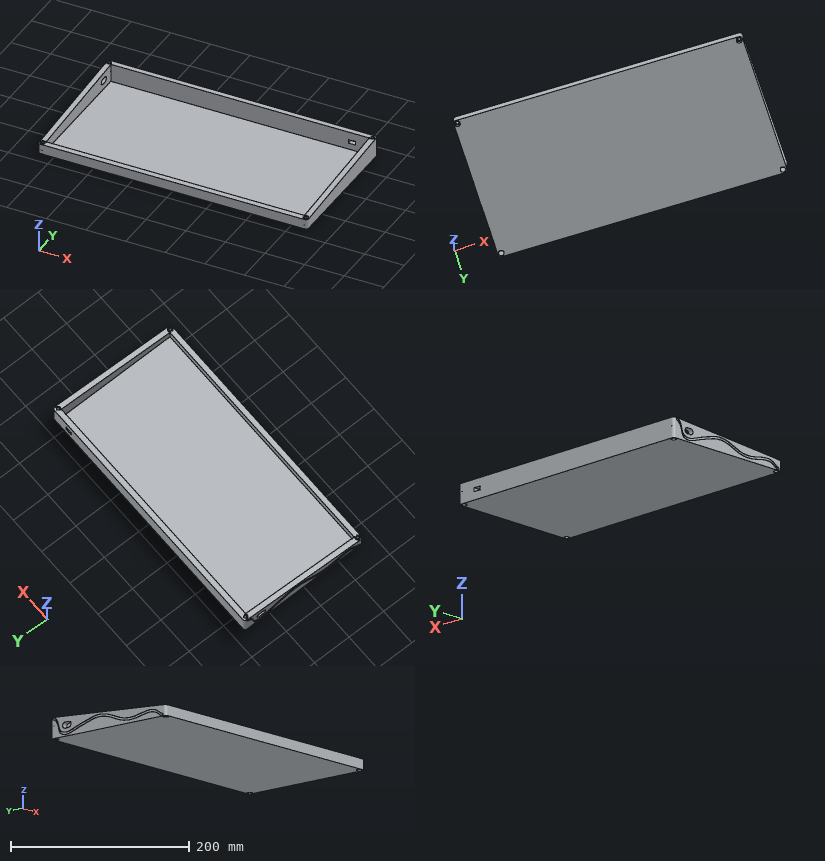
import cadquery as cq
import math

overall_length = 340.7
width = 171.7
rear_height = 25.0
slope_angle = 4.1

strip_thickness = 0.5
strip_height = 2.7
wave_points = [
    (81.8, 23.0), (77.7, 20.8), (74.3, 15.0), (71.2, 6.5),
    (64.5, 3.5), (49.7, 6.5), (33.5, 11.5), (14.5, 15.7),
    (-3.5, 12.5), (-17.5, 7.0), (-31.5, 4.8), (-46.7, 6.5),
    (-61.5, 9.0), (-71.5, 6.8), (-76.5, 3.5), (-81.0, 1.5),
]

wall = 7.0
floor_thickness = 2.0
corner_radius = 3.5
rear_flat = 3.5
front_slope_run = 3.5

hole_diameter = 3.5
seat_diameter = 6.0
hole_inset = 4.5
rear_bore_depth = 15.0
front_bore_depth = 4.5

port_length = 12.3
port_height = 6.8
port_y = 61.5
port_z = 13.0

socket_width = 9.0
socket_height = 4.5
socket_x = 141.5
socket_z = 12.3

right = overall_length / 2
left = strip_thickness - overall_length / 2
case_length = right - left
center_x = (left + right) / 2
inner_length = case_length - 2 * wall
front = -width / 2
rear = width / 2
slope_start = rear - rear_flat
slope = math.tan(math.radians(slope_angle))
front_height = rear_height - slope * (slope_start - front)
front_rim_height = front_height + slope * front_slope_run


def inner_block(y_from, y_to, z_from, z_to):
    """Block between the inner faces of the two side walls."""
    return cq.Workplane("XY").box(inner_length, y_to - y_from, z_to - z_from).translate(
        (center_x, (y_from + y_to) / 2, (z_from + z_to) / 2)
    )


def make_wedge():
    """Solid wedge: flat along the rear edge, then sloping down to the front."""
    profile = [(front, 0), (rear, 0), (rear, rear_height), (slope_start, rear_height), (front, front_height)]
    wedge = cq.Workplane("YZ", origin=(left, 0, 0)).polyline(profile).close().extrude(case_length)
    return wedge.edges("|Z").fillet(corner_radius)


def make_tray():
    """Wedge hollowed out, with level tops on the rear wall and on the inner part of the front wall."""
    cavity = inner_block(front + wall, rear - wall, floor_thickness, rear_height)
    rear_rim = inner_block(rear - wall, slope_start, floor_thickness, rear_height)
    front_rim_cut = inner_block(front + front_slope_run, front + wall, front_rim_height, rear_height)
    return make_wedge().cut(cavity).union(rear_rim).cut(front_rim_cut)


def add_screw_hole(case, x, y, seat_height, bore_depth):
    """Level the corner to a round seat, drill it through and bore it wider from below."""
    base = cq.Workplane("XY", origin=(x, y, 0))
    seat = base.circle(seat_diameter / 2).extrude(seat_height)
    above_seat = base.workplane(offset=seat_height).circle(seat_diameter / 2).extrude(rear_height)
    hole = base.circle(hole_diameter / 2).extrude(seat_height)
    bore = base.circle(seat_diameter / 2).extrude(bore_depth)
    return case.union(seat).cut(above_seat).cut(hole).cut(bore)


def make_case():
    case = make_tray()
    for x in (left + hole_inset, right - hole_inset):
        case = add_screw_hole(case, x, rear - hole_inset, rear_height, rear_bore_depth)
        case = add_screw_hole(case, x, front + hole_inset, front_rim_height, front_bore_depth)
    port = cq.Workplane("YZ", origin=(left, port_y, port_z)).slot2D(port_length, port_height).extrude(wall)
    socket = cq.Workplane("XY").box(socket_width, wall, socket_height).translate(
        (socket_x, rear - wall / 2, socket_z)
    )
    return case.cut(port).cut(socket)


def make_strip():
    """Wavy strip of constant upright height, lying on the outside of the left wall."""
    upper_edge = [(y, z + strip_height / 2) for y, z in wave_points]
    lower_edge = [(y, z - strip_height / 2) for y, z in reversed(wave_points)]
    return (
        cq.Workplane("YZ", origin=(left, 0, 0))
        .moveTo(*upper_edge[0])
        .spline(upper_edge[1:], includeCurrent=True)
        .lineTo(*lower_edge[0])
        .spline(lower_edge[1:], includeCurrent=True)
        .close()
        .extrude(-strip_thickness)
    )


case = make_case()
strip = make_strip()

result = cq.Compound.makeCompound([case.val(), strip.val()])